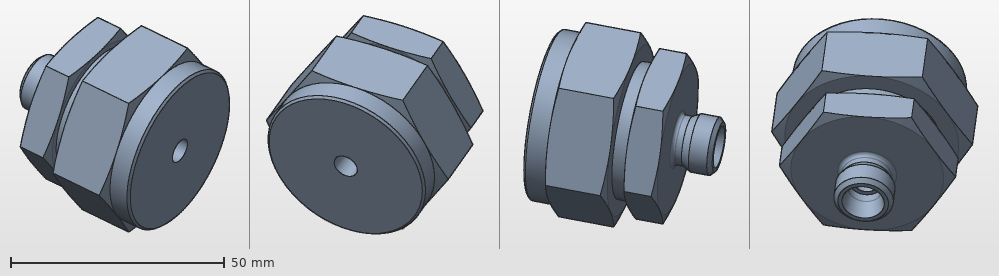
import cadquery as cq
import math


stub_chamfer_end = 1.05
stub_shoulder = 5.5
neck_start = 7.5
small_hex_start = 10.05
small_hex_end = 18.1
large_hex_start = 21.5
large_hex_end = 36.55
overall_length = 42.0

large_hex_corners = 47.35
flats_per_corners = math.cos(math.radians(30))
large_hex_flats = large_hex_corners * flats_per_corners
small_hex_flats = 36.0
stub_radius = 14.0 / 2
neck_radius = 11.95 / 2
collar_radius = 33.0 / 2
flange_radius = large_hex_flats / 2
flange_chamfer = 0.55
neck_fillet = 1.0
hex_chamfer_angle = 15.0

cone_mouth_radius = 10.0 / 2
socket_radius = 8.0 / 2
bore_radius = 6.0 / 2
cone_half_angle = 12.0
socket_depth = 7.0


def revolve_about_x(profile):
    """Revolve an XY profile fully about the X axis."""
    return profile.close().revolve(360, (0, 0, 0), (1, 0, 0))


def chamfered_hex(flats, start, end):
    """Hexagon with flats facing +/-Z and both rims turned down to the flats."""
    corners = flats / flats_per_corners
    corner_height = (corners - flats) / 2
    chamfer_length = corner_height * math.tan(math.radians(hex_chamfer_angle))
    prism = (
        cq.Workplane("YZ")
        .workplane(offset=start)
        .polygon(6, corners)
        .extrude(end - start)
    )
    envelope = revolve_about_x(
        cq.Workplane("XY")
        .moveTo(start, 0)
        .lineTo(start, flats / 2)
        .lineTo(start + chamfer_length, corners / 2)
        .lineTo(end - chamfer_length, corners / 2)
        .lineTo(end, flats / 2)
        .lineTo(end, 0)
    )
    return prism.intersect(envelope)


def stub():
    """Chamfered stub, tapered to a neck that flares into the small hexagon."""
    fillet_start = small_hex_start - neck_fillet
    fillet_mid_offset = neck_fillet * math.sin(math.radians(45))
    return revolve_about_x(
        cq.Workplane("XY")
        .moveTo(0, 0)
        .lineTo(0, stub_radius - stub_chamfer_end)
        .lineTo(stub_chamfer_end, stub_radius)
        .lineTo(stub_shoulder, stub_radius)
        .lineTo(neck_start, neck_radius)
        .lineTo(fillet_start, neck_radius)
        .threePointArc(
            (fillet_start + fillet_mid_offset, neck_radius + neck_fillet - fillet_mid_offset),
            (small_hex_start, neck_radius + neck_fillet),
        )
        .lineTo(small_hex_start, 0)
    )


def cylinder(radius, start, end):
    return cq.Workplane("YZ").workplane(offset=start).circle(radius).extrude(end - start)


def bore():
    """Conical mouth, cylindrical tube socket and through bore."""
    cone_depth = (cone_mouth_radius - socket_radius) / math.tan(math.radians(cone_half_angle))
    return revolve_about_x(
        cq.Workplane("XY")
        .moveTo(0, 0)
        .lineTo(0, cone_mouth_radius)
        .lineTo(cone_depth, socket_radius)
        .lineTo(socket_depth, socket_radius)
        .lineTo(socket_depth, bore_radius)
        .lineTo(overall_length, bore_radius)
        .lineTo(overall_length, 0)
    )


collar = cylinder(collar_radius, small_hex_end, large_hex_start)
flange = cylinder(flange_radius, large_hex_end, overall_length)
flange = flange.faces(">X").chamfer(flange_chamfer)

result = (
    stub()
    .union(chamfered_hex(small_hex_flats, small_hex_start, small_hex_end))
    .union(collar)
    .union(chamfered_hex(large_hex_flats, large_hex_start, large_hex_end))
    .union(flange)
    .cut(bore())
)